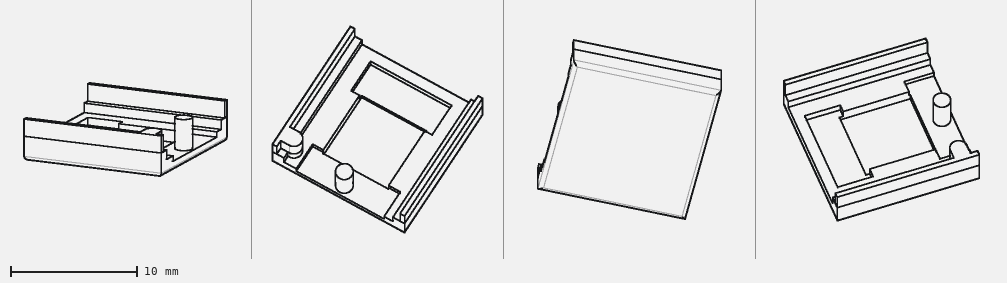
import cadquery as cq

length_x = 12.0
width_y = 12.2
height = 3.4

floor_z = 1.23
ledge_z = 2.0
pin_top_z = 3.34
bottom_fillet = 0.37

ledge_width = 1.07
rail_thickness = 0.41

left_recess_x = (0.93, 3.93)
left_recess_y = (2.42, 9.9)
left_recess_depth = 0.63
center_recess_x = (3.61, 9.59)
center_recess_y = (3.2, 9.22)
center_recess_depth = 0.98
right_recess_x = (9.49, length_x)
right_recess_y = (2.21, 10.31)
right_recess_depth = 0.44

post_diameter = 1.4
post_radius = post_diameter / 2
pin_x = 11.1
pin_y = width_y / 2
boss_x = 10.7
boss_nose_y = 1.9
boss_center_y = boss_nose_y - post_radius


def block(x_range, y_range, z_range):
    """Axis-aligned block spanning the given ranges."""
    size_x = x_range[1] - x_range[0]
    size_y = y_range[1] - y_range[0]
    size_z = z_range[1] - z_range[0]
    corner = cq.Vector(x_range[0], y_range[0], z_range[0])
    return cq.Workplane("XY").box(size_x, size_y, size_z, centered=False).translate(corner)


def boss(bottom_z, top_z):
    """Boss that runs inward from the front face and ends in a half-round nose."""
    left_x = boss_x - post_radius
    right_x = boss_x + post_radius
    return (
        cq.Workplane("XY", origin=(0, 0, bottom_z))
        .moveTo(left_x, 0)
        .lineTo(left_x, boss_center_y)
        .threePointArc((boss_x, boss_nose_y), (right_x, boss_center_y))
        .lineTo(right_x, 0)
        .close()
        .extrude(top_z - bottom_z)
    )


def floor_recess(x_range, y_range, depth):
    """Cutter for a rectangular recess sunk into the floor."""
    return block(x_range, y_range, (floor_z - depth, floor_z))


def make_base():
    """Channel-shaped tray with stepped recesses, the pin and the lower part of the boss."""
    base = block((0, length_x), (0, width_y), (0, ledge_z))
    base = base.faces("<Z").edges().fillet(bottom_fillet)
    channel_y = (ledge_width, width_y - ledge_width)
    base = base.cut(block((0, length_x), channel_y, (floor_z, ledge_z)))
    base = base.cut(floor_recess(left_recess_x, left_recess_y, left_recess_depth))
    base = base.cut(floor_recess(center_recess_x, center_recess_y, center_recess_depth))
    base = base.cut(floor_recess(right_recess_x, right_recess_y, right_recess_depth))

    pin_bottom_z = floor_z - right_recess_depth
    pin = (
        cq.Workplane("XY", origin=(pin_x, pin_y, pin_bottom_z))
        .circle(post_radius)
        .extrude(pin_top_z - pin_bottom_z)
    )
    return base.union(pin).union(boss(floor_z, ledge_z))


def make_rail(start_y):
    """Plain rail standing on a ledge, with its lower-Y face at start_y."""
    rail_y = (start_y, start_y + rail_thickness)
    return block((0, length_x), rail_y, (ledge_z, height))


def make_front_rail():
    """Front rail carrying the upper part of the boss."""
    return make_rail(0).union(boss(ledge_z, height))


base = make_base()
front_rail = make_front_rail()
rear_rail = make_rail(width_y - rail_thickness)

bodies = [base, front_rail, rear_rail]
result = cq.Compound.makeCompound([body.solids().val() for body in bodies])